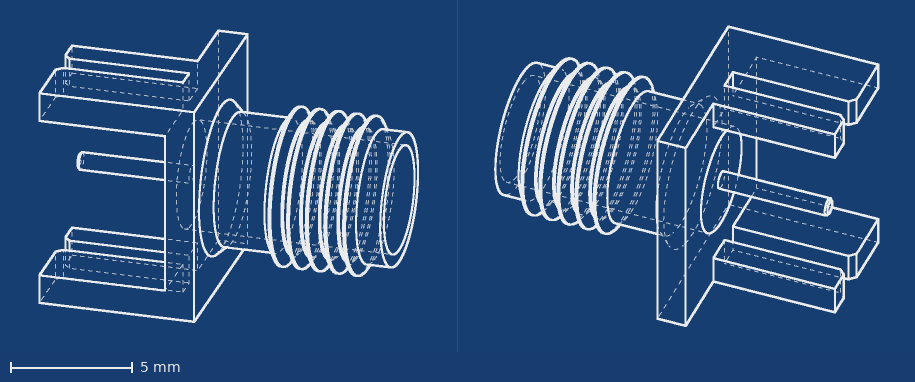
import cadquery as cq


flange_thickness = 1.25
flange_width = 7.92
flange_height = 9.52

leg_length = 5.38
leg_thickness = flange_thickness
leg_chamfer = 0.25
narrow_leg_outer_y = 0.88
narrow_leg_width = 1.25
board_slot_width = 0.93
narrow_leg_inner_y = narrow_leg_outer_y - narrow_leg_width
wide_leg_inner_y = narrow_leg_inner_y - board_slot_width
wide_leg_outer_y = -flange_width / 2

barrel_length = 7.63
barrel_radius = 2.81
collar_radius = 3.25
collar_length = 0.5
barrel_end = flange_thickness + barrel_length

ridge_count = 5
ridge_pitch = 0.8
ridge_radius = 3.32
ridge_base_width = 0.73
ridge_crest_width = 0.09
first_ridge_x = flange_thickness + 3.04

insulator_radius = 2.27
pin_radius = 0.37
pin_length = 4.81
pin_chamfer = 0.09


def make_leg(inner_y, outer_y, bottom_z):
    """Return a leg whose free end is chamfered on the side facing the slot."""
    outward = 1 if outer_y > inner_y else -1
    return (
        cq.Workplane("XY")
        .workplane(offset=bottom_z)
        .moveTo(0, outer_y)
        .lineTo(-leg_length, outer_y)
        .lineTo(-leg_length, inner_y + outward * leg_chamfer)
        .lineTo(-leg_length + leg_chamfer, inner_y)
        .lineTo(0, inner_y)
        .close()
        .extrude(leg_thickness)
    )


def make_barrel():
    """Return the solid barrel with its conical collar and thread ridges."""
    half_base = ridge_base_width / 2
    half_crest = ridge_crest_width / 2
    profile = (
        cq.Workplane("XY")
        .moveTo(flange_thickness, 0)
        .lineTo(flange_thickness, collar_radius)
        .lineTo(flange_thickness + collar_length, barrel_radius)
    )
    for index in range(ridge_count):
        ridge_x = first_ridge_x + index * ridge_pitch
        profile = (
            profile.lineTo(ridge_x - half_base, barrel_radius)
            .lineTo(ridge_x - half_crest, ridge_radius)
            .lineTo(ridge_x + half_crest, ridge_radius)
            .lineTo(ridge_x + half_base, barrel_radius)
        )
    profile = profile.lineTo(barrel_end, barrel_radius).lineTo(barrel_end, 0).close()
    return profile.revolve(360, (0, 0, 0), (1, 0, 0))


def make_housing():
    """Return the flange, legs and barrel, bored through for the insulator."""
    housing = cq.Workplane("XY").box(
        flange_thickness, flange_width, flange_height, centered=(False, True, True)
    )
    housing = housing.union(make_barrel())
    for bottom_z in (-flange_height / 2, flange_height / 2 - leg_thickness):
        housing = housing.union(make_leg(narrow_leg_inner_y, narrow_leg_outer_y, bottom_z))
        housing = housing.union(make_leg(wide_leg_inner_y, wide_leg_outer_y, bottom_z))
    bore = cq.Workplane("YZ").circle(insulator_radius).extrude(barrel_end)
    return housing.cut(bore)


def make_core():
    """Return the insulator that fills the bore, with the pin on its rear face."""
    insulator = cq.Workplane("YZ").circle(insulator_radius).extrude(barrel_end)
    pin = cq.Workplane("YZ").circle(pin_radius).extrude(-pin_length)
    pin = pin.faces("<X").chamfer(pin_chamfer)
    return insulator.union(pin)


housing = make_housing()
core = make_core()
result = cq.Compound.makeCompound([housing.solids().val(), core.solids().val()])